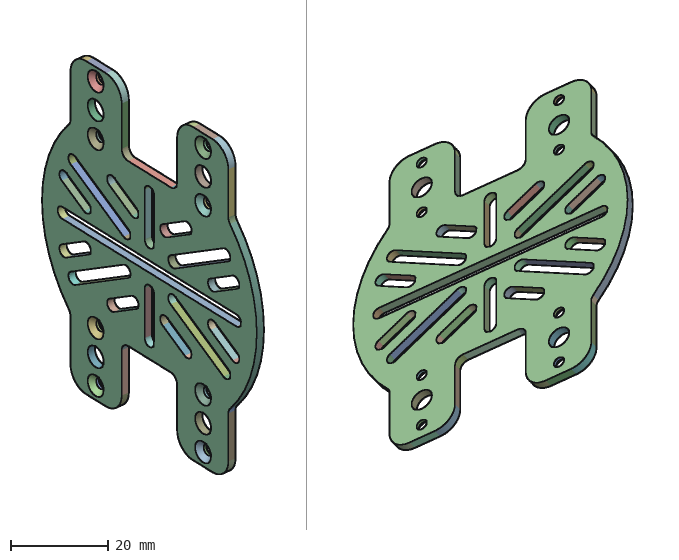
import cadquery as cq

thickness = 2.0
disc_radius = 34.0
height = 81.01

leg_outer_x = 25.0
leg_inner_x = 8.75
leg_corner_radius = 5.0
notch_floor_z = 22.5
root_fillet_radius = 2.0

hole_x = 17.0
plain_hole_z = 30.0
hole_pitch = 7.0
plain_hole_diameter = 5.0
screw_hole_diameter = 2.5
countersink_diameter = plain_hole_diameter
countersink_angle = 90.0

slot_width = 2.9
horizontal_slot_length = 58.0
vertical_slot_length = 15.0
vertical_slot_center_z = 12.0
slant_angle = 30.0
long_slant_length = 22.2
long_slant_center = (15.8, 9.5)
short_slant_length = 11.0
upper_short_center = (8.4, 13.05)
lower_short_center = (23.5, 7.0)

front_y = -thickness / 2
selection_margin = 1.0
signs = (1, -1)


def front_plane():
    """Workplane on the front face: local x is X, local y is Z, normal is -Y."""
    return cq.Workplane("XZ", origin=(0, front_y, 0))


def make_plate():
    """Disc merged with four round-cornered legs, filleted where the legs meet the disc."""
    disc = front_plane().circle(disc_radius).extrude(-thickness)
    leg_span = front_plane().rect(2 * leg_outer_x, height).extrude(-thickness)
    plate = disc.union(leg_span)

    notch_height = height / 2 - notch_floor_z
    notch_center_z = notch_floor_z + notch_height / 2
    notches = (
        front_plane()
        .pushPoints([(0, side * notch_center_z) for side in signs])
        .rect(2 * leg_inner_x, notch_height)
        .extrude(-thickness)
    )
    plate = plate.cut(notches)

    box_x = leg_outer_x + selection_margin
    box_z = height / 2 - selection_margin
    inside_corners = cq.selectors.BoxSelector((-box_x, -thickness, -box_z), (box_x, thickness, box_z))
    plate = plate.edges("|Y").edges(inside_corners).fillet(root_fillet_radius)
    return plate.edges("|Y").edges("<Z or >Z").fillet(leg_corner_radius)


def cut_leg_holes(plate):
    """Plain hole in the middle of each leg with a countersunk hole above and below it."""
    plain_points = []
    screw_points = []
    for side_x in signs:
        for side_z in signs:
            x = side_x * hole_x
            plain_points.append((x, side_z * plain_hole_z))
            screw_points.append((x, side_z * (plain_hole_z + hole_pitch)))
            screw_points.append((x, side_z * (plain_hole_z - hole_pitch)))
    plate = plate.copyWorkplane(front_plane()).pushPoints(plain_points).hole(plain_hole_diameter)
    return (
        plate.copyWorkplane(front_plane())
        .pushPoints(screw_points)
        .cskHole(screw_hole_diameter, countersink_diameter, countersink_angle)
    )


def cut_slot(plate, center, length, angle):
    """Through slot with rounded ends, at an angle measured from +X towards +Z."""
    cutter = front_plane().center(*center).slot2D(length, slot_width, angle).extrude(-thickness)
    return plate.cut(cutter)


def cut_slots(plate):
    """Central horizontal slot, two vertical slots and three slanted slots per quadrant."""
    plate = cut_slot(plate, (0, 0), horizontal_slot_length, 0)
    for side_z in signs:
        plate = cut_slot(plate, (0, side_z * vertical_slot_center_z), vertical_slot_length, 90)

    slanted_slots = (
        (long_slant_center, long_slant_length),
        (upper_short_center, short_slant_length),
        (lower_short_center, short_slant_length),
    )
    for side_x in signs:
        for side_z in signs:
            for (x, z), length in slanted_slots:
                angle = side_x * side_z * slant_angle
                plate = cut_slot(plate, (side_x * x, side_z * z), length, angle)
    return plate


result = cut_slots(cut_leg_holes(make_plate()))